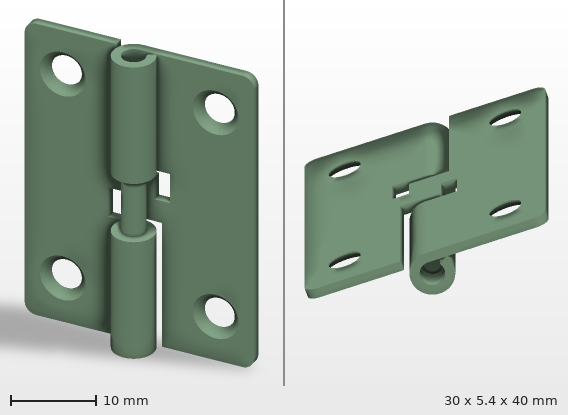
import cadquery as cq
import math


HINGE_HEIGHT = 40.0
HINGE_WIDTH = 30.0
SHEET = 1.2
PIN_DIAMETER = 3.0
CORNER_RADIUS = 1.5

KNUCKLE_START = 4.0
CURL_END_ANGLE = 33.0
TONGUE_HEIGHT = 3.0
TONGUE_REACH = 2.0
EDGE_GAP = 3.0
RELIEF_GAP = 4.0

HOLE_X = 10.0
HOLE_Z = 14.0
HOLE_DIAMETER = 4.0
COUNTERSINK_DIAMETER = 6.0
COUNTERSINK_ANGLE = 90.0

PIN_RECESS = 3.0
PIN_TIP_DIAMETER = 2.0

TOP = HINGE_HEIGHT / 2
SIDE = HINGE_WIDTH / 2
PIN_RADIUS = PIN_DIAMETER / 2
PIN_CHAMFER = (PIN_DIAMETER - PIN_TIP_DIAMETER) / 2
OUTER_RADIUS = PIN_RADIUS + SHEET


def polar(radius, angle):
    """Point in the XY plane at an angle in degrees from +X."""
    return (radius * math.cos(math.radians(angle)), radius * math.sin(math.radians(angle)))


def make_knuckle():
    """Sheet from the relief edge, rolled around the pin from its tangent line at X = 0."""
    return (
        cq.Workplane("XY", origin=(0, 0, KNUCKLE_START))
        .moveTo(RELIEF_GAP, OUTER_RADIUS)
        .lineTo(0, OUTER_RADIUS)
        .threePointArc((-OUTER_RADIUS, 0), polar(OUTER_RADIUS, CURL_END_ANGLE))
        .lineTo(*polar(PIN_RADIUS, CURL_END_ANGLE))
        .threePointArc((-PIN_RADIUS, 0), (0, PIN_RADIUS))
        .lineTo(RELIEF_GAP, PIN_RADIUS)
        .close()
        .extrude(TOP - KNUCKLE_START)
    )


def make_plate():
    """Flat part of the leaf: tongue behind the pin, rounded outer corners and countersunk holes."""
    front_face = cq.Workplane("XZ", origin=(0, PIN_RADIUS, 0))
    blank = (
        front_face
        .moveTo(RELIEF_GAP, TOP)
        .lineTo(SIDE, TOP)
        .lineTo(SIDE, -TOP)
        .lineTo(EDGE_GAP, -TOP)
        .lineTo(EDGE_GAP, -TONGUE_HEIGHT)
        .lineTo(-TONGUE_REACH, -TONGUE_HEIGHT)
        .lineTo(-TONGUE_REACH, 0)
        .lineTo(RELIEF_GAP, 0)
        .close()
        .extrude(-SHEET)
        .edges("|Y and >X")
        .fillet(CORNER_RADIUS)
    )
    return (
        blank.faces("<Y")
        .workplane(origin=(0, PIN_RADIUS, 0))
        .pushPoints([(HOLE_X, HOLE_Z), (HOLE_X, -HOLE_Z)])
        .cskHole(HOLE_DIAMETER, COUNTERSINK_DIAMETER, COUNTERSINK_ANGLE)
    )


def make_leaf():
    """Right-hand leaf: plate with its tongue, and the knuckle above mid-height."""
    return make_plate().union(make_knuckle())


def make_pin():
    """Round pin, chamfered at both ends and recessed inside the knuckles."""
    length = HINGE_HEIGHT - 2 * PIN_RECESS
    return (
        cq.Workplane("XY")
        .cylinder(length, PIN_RADIUS)
        .faces("<Z or >Z")
        .chamfer(PIN_CHAMFER)
    )


leaves = [make_leaf().rotate((0, 0, 0), (0, 1, 0), turn) for turn in (0, 180)]
pin = make_pin()

result = cq.Compound.makeCompound([*[leaf.val() for leaf in leaves], pin.val()])